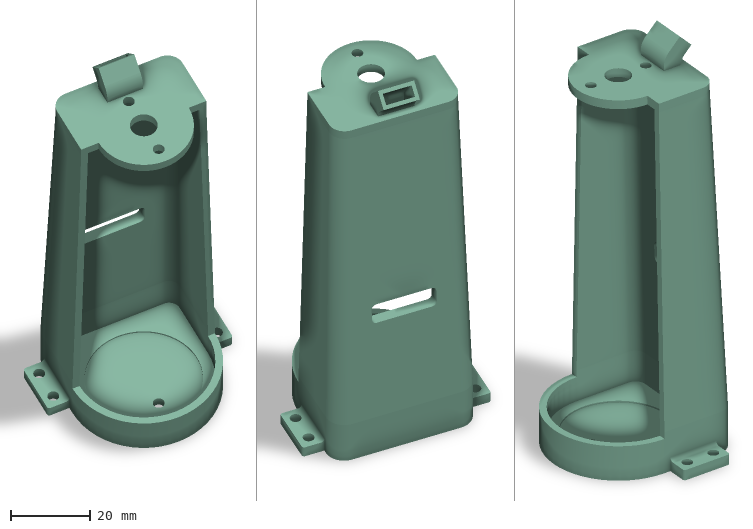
import cadquery as cq
import math


total_height = 115.0
wall = 2.0
back_wall = 3.0

base_half_width = 20.0
base_back = 22.1
base_corner = 5.0
base_height = 12.0
cup_height = 10.0
floor_thickness = 3.0
recess_radius = 15.0
recess_depth = 0.5

plate_top = 106.6
plate_thickness = 2.5
plate_bottom = plate_top - plate_thickness
plate_half_width = 17.6
plate_back = 17.8
plate_corner = 4.3
tongue_radius = 12.6
center_hole = 7.0
small_hole = 3.0
small_hole_offset = 8.5

slot_width = 17.8
slot_height = 6.0
slot_middle = 45.2
slot_corner = 1.4

ear_left = -16.1
ear_right = -1.8
ear_reach = 26.0
ear_thickness = 3.0
ear_corner = 0.7
ear_fillet = 1.0
ear_hole_spacing = 8.0
ear_hole_y = 23.0

tube_width = 10.0
tube_depth = 5.1
tube_wall = 1.0
tube_front = -10.6
tube_tip_x = -15.5
tube_bend_radius = 5.1
tube_bend = math.radians(45)


def shell_profile(z, back, half_width, corner):
    """Rectangle from x = -back to x = 0 with its two back corners rounded."""
    return (
        cq.Workplane("XY")
        .workplane(offset=z)
        .moveTo(0, -half_width)
        .lineTo(corner - back, -half_width)
        .radiusArc((-back, corner - half_width), corner)
        .lineTo(-back, half_width - corner)
        .radiusArc((corner - back, half_width), corner)
        .lineTo(0, half_width)
        .close()
    )


def tapered_column(inset, back_inset):
    """Loft from the foot up to the plate, with the sides and back of both ends moved in."""
    foot = shell_profile(
        base_height, base_back - back_inset, base_half_width - inset, base_corner - inset
    ).wires().val()
    head = shell_profile(
        plate_bottom, plate_back - back_inset, plate_half_width - inset, plate_corner - inset
    ).wires().val()
    return cq.Workplane(cq.Solid.makeLoft([foot, head], True))


def cylinder(radius, bottom, top, x=0, y=0):
    return cq.Workplane("XY").workplane(offset=bottom).center(x, y).circle(radius).extrude(top - bottom)


def make_base():
    foot = shell_profile(0, base_back, base_half_width, base_corner).extrude(base_height)
    cup = cylinder(base_half_width, 0, cup_height)
    front = cq.Workplane("XY").box(
        base_half_width, 2 * base_half_width, cup_height, centered=(False, True, False)
    )
    base = foot.union(cup.intersect(front))
    foot_cavity = shell_profile(
        floor_thickness, base_back - back_wall, base_half_width - wall, base_corner - wall
    ).extrude(base_height - floor_thickness)
    cup_cavity = cylinder(base_half_width - wall, floor_thickness, base_height).intersect(
        front.translate((0, 0, floor_thickness))
    )
    recess = cylinder(recess_radius, floor_thickness - recess_depth, floor_thickness)
    return base.cut(foot_cavity).cut(cup_cavity).cut(recess)


def make_column():
    slot = (
        cq.Workplane("XY")
        .box(base_back, slot_width, slot_height)
        .edges("|X")
        .fillet(slot_corner)
        .translate((-base_back / 2, 0, slot_middle))
    )
    return tapered_column(0, 0).cut(tapered_column(wall, back_wall)).cut(slot)


def make_plate():
    cap = shell_profile(plate_bottom, plate_back, plate_half_width, plate_corner).extrude(plate_thickness)
    return cap.union(cylinder(tongue_radius, plate_bottom, plate_top))


def make_ear(side):
    """Ear on the +Y (side = 1) or -Y (side = -1) face, with a concave fillet along the wall."""
    length = ear_right - ear_left
    middle = (ear_left + ear_right) / 2
    inner = base_half_width - wall
    ear = (
        cq.Workplane("XY")
        .box(length, ear_reach - inner, ear_thickness, centered=(True, False, False))
        .translate((middle, inner, 0))
        .edges("|Z and >Y")
        .fillet(ear_corner)
    )
    web = (
        cq.Workplane("YZ")
        .workplane(offset=ear_left)
        .moveTo(base_half_width, ear_thickness)
        .lineTo(base_half_width + ear_fillet, ear_thickness)
        .radiusArc((base_half_width, ear_thickness + ear_fillet), ear_fillet)
        .close()
        .extrude(length)
    )
    ear = ear.union(web)
    for offset in (-ear_hole_spacing / 2, ear_hole_spacing / 2):
        ear = ear.cut(cylinder(small_hole / 2, 0, ear_thickness + ear_fillet, middle + offset, ear_hole_y))
    if side < 0:
        ear = ear.mirror("XZ")
    return ear


def bent_bar(inset, bottom):
    """Bar that rises from bottom and bends 45 degrees towards -X; inset thins it on all sides."""
    front = tube_front - inset
    depth = tube_depth - 2 * inset
    tip_x = tube_tip_x - inset * math.cos(tube_bend)
    tip_z = total_height - inset * math.sin(tube_bend)
    front_bend_z = tip_z - (front - tip_x) / math.tan(tube_bend)
    back_bend_z = front_bend_z - depth * math.tan(tube_bend / 2)
    bar = (
        cq.Workplane("XZ")
        .moveTo(front, bottom)
        .lineTo(front, front_bend_z)
        .lineTo(tip_x, tip_z)
        .lineTo(tip_x - depth * math.cos(tube_bend), tip_z - depth * math.sin(tube_bend))
        .lineTo(front - depth, back_bend_z)
        .lineTo(front - depth, bottom)
        .close()
        .extrude(tube_width / 2 - inset, both=True)
    )
    for x, z in ((front, front_bend_z), (front - depth, back_bend_z)):
        bar = bar.edges(cq.selectors.NearestToPointSelector((x, 0, z))).fillet(tube_bend_radius)
    return bar


result = make_base().union(make_column()).union(make_plate())
for side in (1, -1):
    result = result.union(make_ear(side))
result = result.union(bent_bar(0, plate_bottom)).cut(bent_bar(tube_wall, plate_bottom))
result = result.cut(cylinder(center_hole / 2, plate_bottom, plate_top))
result = result.cut(cylinder(small_hole / 2, plate_bottom, plate_top, -small_hole_offset))
result = result.cut(cylinder(small_hole / 2, 0, plate_top, small_hole_offset))